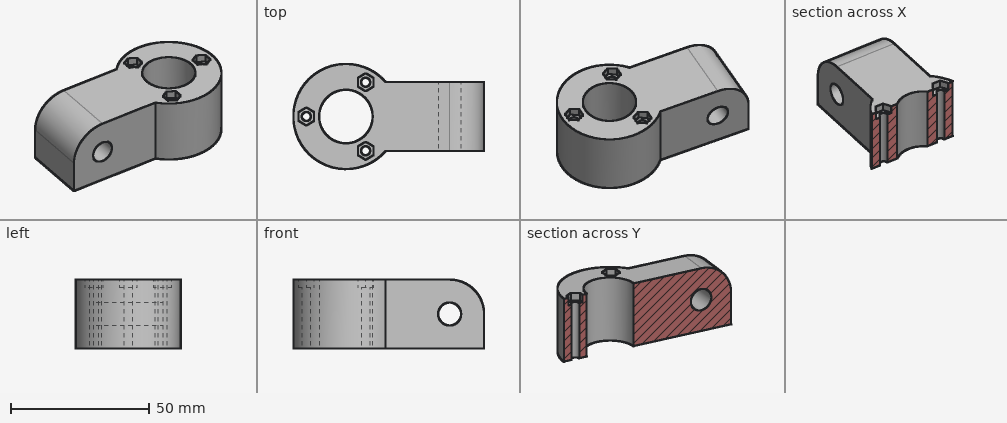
import cadquery as cq

length = 69.05
height = 25.0
ring_diameter = 38.1
bore_diameter = 19.25

arm_width = height
end_radius = height / 2
pivot_diameter = 8.2

bolt_count = 3
bolt_circle_radius = 14.3
bolt_diameter = 3.2
nut_corner_diameter = 6.5
nut_depth = 3.0

arm_end = length - ring_diameter / 2
pivot_x = arm_end - end_radius


def make_body():
    ring = cq.Workplane("XY").circle(ring_diameter / 2).extrude(height)
    arm = (
        cq.Workplane("XY")
        .box(arm_end, arm_width, height, centered=(False, True, False))
        .edges(">X and >Z")
        .fillet(end_radius)
    )
    return ring.union(arm)


def make_bore():
    return cq.Workplane("XY").circle(bore_diameter / 2).extrude(height)


def make_pivot_hole():
    return (
        cq.Workplane("XZ")
        .center(pivot_x, height / 2)
        .circle(pivot_diameter / 2)
        .extrude(arm_width / 2, both=True)
    )


def make_bolt_cuts():
    bolt_circle = cq.Workplane("XY").polarArray(
        bolt_circle_radius, 180, 360, bolt_count, rotate=False
    )
    holes = bolt_circle.circle(bolt_diameter / 2).extrude(height)
    nut = (
        cq.Workplane("XY")
        .polygon(6, nut_corner_diameter)
        .extrude(nut_depth)
        .rotate((0, 0, 0), (0, 0, 1), 90)
        .translate((0, 0, height - nut_depth))
    )
    pockets = bolt_circle.eachpoint(nut, combine=False)
    return holes.union(pockets)


result = make_body().cut(make_bore()).cut(make_pivot_hole()).cut(make_bolt_cuts())